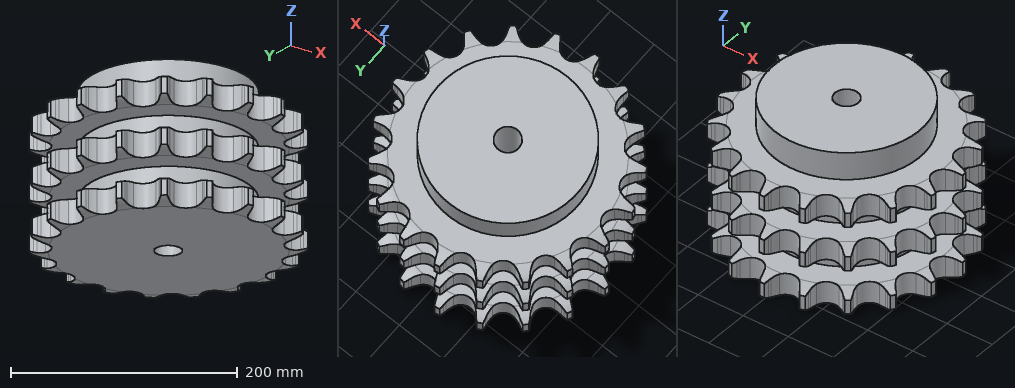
import cadquery as cq
import math

teeth = 19
chain_pitch = 38.1
roller_diameter = 25.3
tip_radius = 123.3
disc_width = 23.5
disc_count = 3
hub_diameter = 160.0
hub_height = 150.0
hub_extension = 29.8
disc_spacing = (hub_height - hub_extension - disc_width) / (disc_count - 1)
bore_diameter = 25.0
relief_start_radius = 106.3
relief_arc_radius = chain_pitch
relief_overlap = 2.5

tooth_angle = 2 * math.pi / teeth
pitch_radius = chain_pitch / 2 / math.sin(tooth_angle / 2)

seat_radius = 0.5025 * roller_diameter
working_radius = 1.3025 * roller_diameter
working_center_distance = working_radius - seat_radius
topping_center_distance = 1.4 * roller_diameter
seat_end_angle = math.radians(35 + 60 / teeth)
working_end_angle = seat_end_angle - math.radians(18 - 56 / teeth)


def polar(center, radius, angle):
    """Point at a distance and direction from a centre."""
    return (center[0] + radius * math.cos(angle), center[1] + radius * math.sin(angle))


def flank_points():
    """Points on the right flank of a gap centred on +Y, from the root up to the tooth tip."""
    roller_center = (0, pitch_radius)
    root = (0, pitch_radius - seat_radius)
    seat_end = polar(roller_center, seat_radius, -seat_end_angle)

    working_center = polar(roller_center, working_center_distance, math.pi - seat_end_angle)
    working_mid_angle = (seat_end_angle + working_end_angle) / 2
    working_mid = polar(working_center, working_radius, -working_mid_angle)
    working_end = polar(working_center, working_radius, -working_end_angle)

    topping_center = polar(roller_center, topping_center_distance, -tooth_angle / 2)
    normal = (math.cos(working_end_angle), -math.sin(working_end_angle))
    along = (-normal[1], normal[0])
    offset = (topping_center[0] - working_end[0], topping_center[1] - working_end[1])
    topping_radius = offset[0] * normal[0] + offset[1] * normal[1]
    flank_length = offset[0] * along[0] + offset[1] * along[1]
    flank_end = (working_end[0] + flank_length * along[0], working_end[1] + flank_length * along[1])

    center_radius = math.hypot(*topping_center)
    center_angle = math.atan2(topping_center[1], topping_center[0])
    cosine = (center_radius**2 + tip_radius**2 - topping_radius**2) / (2 * center_radius * tip_radius)
    tip = polar((0, 0), tip_radius, center_angle + math.acos(cosine))

    topping_start_angle = math.pi - working_end_angle
    topping_end_angle = math.atan2(tip[1] - topping_center[1], tip[0] - topping_center[0])
    topping_mid = polar(topping_center, topping_radius, (topping_start_angle + topping_end_angle) / 2)
    return root, seat_end, working_mid, working_end, flank_end, topping_mid, tip


def disc_outline():
    """Closed tooth outline with a gap centred on +Y."""
    root, seat_end, working_mid, working_end, flank_end, topping_mid, tip = flank_points()

    def mirrored(point):
        return (-point[0], point[1])

    tooth_middle = polar((0, 0), tip_radius, math.pi / 2 - tooth_angle / 2)
    next_tip = polar((0, 0), tip_radius, math.atan2(tip[1], -tip[0]) - tooth_angle)
    outline = cq.Workplane("XY").moveTo(*mirrored(tip))
    for gap in range(teeth):
        turn = -gap * tooth_angle

        def turned(point, turn=turn):
            return polar((0, 0), math.hypot(*point), math.atan2(point[1], point[0]) + turn)

        outline = (
            outline
            .threePointArc(turned(mirrored(topping_mid)), turned(mirrored(flank_end)))
            .lineTo(*turned(mirrored(working_end)))
            .threePointArc(turned(mirrored(working_mid)), turned(mirrored(seat_end)))
            .threePointArc(turned(root), turned(seat_end))
            .threePointArc(turned(working_mid), turned(working_end))
            .lineTo(*turned(flank_end))
            .threePointArc(turned(topping_mid), turned(tip))
            .threePointArc(turned(tooth_middle), turned(next_tip))
        )
    return outline.close()


def relief_envelope():
    """Solid of revolution whose faces curve inward toward the tooth tips."""
    outer_radius = tip_radius + relief_overlap

    def drop(radius):
        run = radius - relief_start_radius
        return relief_arc_radius - math.sqrt(relief_arc_radius**2 - run**2)

    middle_radius = (relief_start_radius + outer_radius) / 2
    return (
        cq.Workplane("XZ")
        .lineTo(relief_start_radius, 0)
        .threePointArc((middle_radius, drop(middle_radius)), (outer_radius, drop(outer_radius)))
        .lineTo(outer_radius, disc_width - drop(outer_radius))
        .threePointArc((middle_radius, disc_width - drop(middle_radius)), (relief_start_radius, disc_width))
        .lineTo(0, disc_width)
        .close()
        .revolve(360, (0, 0), (0, 1))
    )


disc = disc_outline().extrude(disc_width).intersect(relief_envelope())

result = cq.Workplane("XY").circle(hub_diameter / 2).extrude(hub_height)
for row in range(disc_count):
    result = result.union(disc.translate((0, 0, row * disc_spacing)))

bore = cq.Workplane("XY").circle(bore_diameter / 2).extrude(hub_height)
result = result.cut(bore)